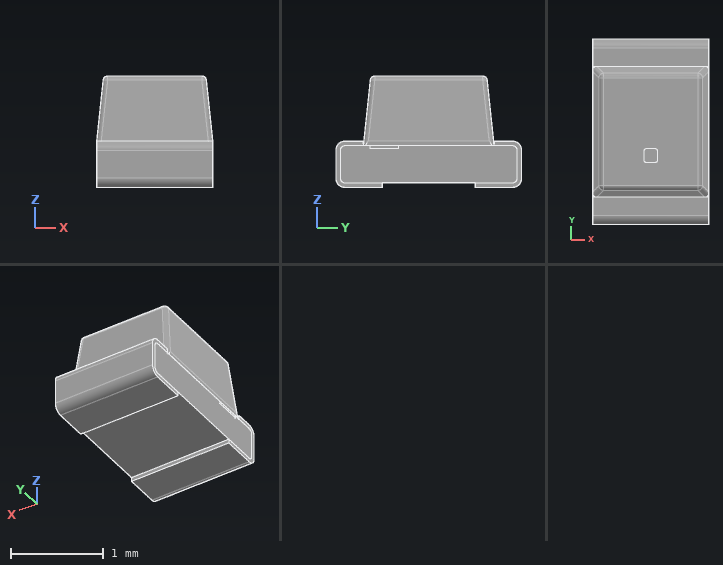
import cadquery as cq
import math

width = 1.25
length = 2.0
total_height = 1.2

metal = 0.05
wrap_height = 0.5
wrap_radius = 0.1
bottom_reach = 0.5

substrate_length = length - 2 * metal
substrate_bottom = metal
substrate_top = wrap_height - metal
substrate_height = substrate_top - substrate_bottom
substrate_radius = wrap_radius - metal

lens_draft = 6.0
lens_length = 1.408
lens_height = total_height - substrate_top
draft_slope = math.tan(math.radians(lens_draft))
lens_base_width = width + 2 * metal * draft_slope
lens_radius = 0.05

mark_size = 0.15
mark_radius = 0.03
mark_depth = 0.02
mark_y = -0.255

strip_length = 0.308
strip_depth = 0.028
strip_y = -0.48


def block(size_x, size_y, size_z, bottom, center_y=0):
    """Box centred on X, standing on the height `bottom`."""
    return (cq.Workplane("XY", origin=(0, center_y, bottom))
            .box(size_x, size_y, size_z, centered=(True, True, False)))


def make_strip():
    return block(width, strip_length, strip_depth, substrate_top - strip_depth, strip_y)


def make_mark():
    mark = block(mark_size, mark_size, mark_depth, total_height - mark_depth, mark_y)
    return mark.edges("|Z").fillet(mark_radius)


def substrate_blank():
    blank = block(width, substrate_length, substrate_height, substrate_bottom)
    return blank.edges("|X").fillet(substrate_radius)


def make_substrate(strip):
    return substrate_blank().cut(strip)


def make_terminal(side):
    """C-shaped wrap on the +Y (side = 1) or -Y (side = -1) end."""
    outer = block(width, length, wrap_height, 0).edges("|X").fillet(wrap_radius)
    shell = outer.cut(substrate_blank())
    top_start = lens_length / 2
    top_zone_length = length / 2 - top_start
    top_zone = block(width, top_zone_length, wrap_height, 0,
                     side * (top_start + top_zone_length / 2))
    foot_start = length / 2 - bottom_reach
    foot_zone = block(width, bottom_reach, substrate_bottom, 0,
                      side * (foot_start + bottom_reach / 2))
    return shell.intersect(top_zone.union(foot_zone))


def make_lens(mark):
    taper = (cq.Workplane("XY", origin=(0, 0, substrate_top))
             .rect(lens_base_width, lens_length)
             .extrude(lens_height, taper=lens_draft))
    rounded = taper.edges("not <Z").fillet(lens_radius)
    side_trim = block(width, length, lens_height, substrate_top)
    return rounded.intersect(side_trim).cut(mark)


strip = make_strip()
mark = make_mark()
substrate = make_substrate(strip)
lens = make_lens(mark)
terminals = [make_terminal(side) for side in (-1, 1)]

result = cq.Compound.makeCompound([
    substrate.val(),
    strip.val(),
    lens.val(),
    mark.val(),
    *[terminal.val() for terminal in terminals],
])